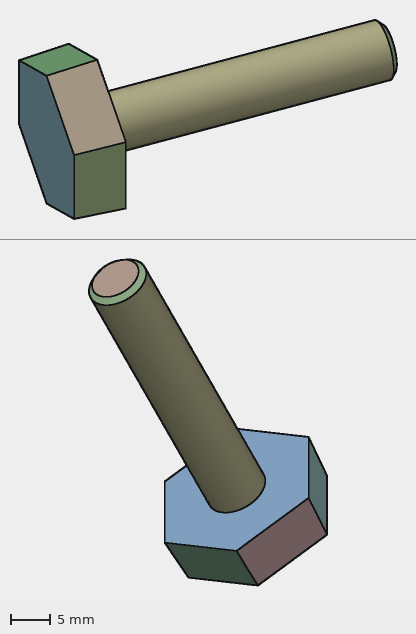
import cadquery as cq
import math

total_length = 47.0
head_height = 7.0
head_across_flats = 20.0
head_draft_angle = 3.0
shank_diameter = 8.0
tip_chamfer = 0.75

shank_length = total_length - head_height
shank_radius = shank_diameter / 2
head_across_corners = head_across_flats / math.cos(math.radians(30))


def make_head():
    """Hexagonal head, widest under the shank at Y = 0 and tapering toward -Y."""
    return (
        cq.Workplane("XZ")
        .transformed(rotate=(0, 0, 90))
        .polygon(6, head_across_corners)
        .extrude(head_height, taper=head_draft_angle)
    )


def make_shank():
    """Round shank along +Y with a chamfered tip, revolved from its half profile."""
    return (
        cq.Workplane("XY")
        .lineTo(shank_radius, 0)
        .lineTo(shank_radius, shank_length - tip_chamfer)
        .lineTo(shank_radius - tip_chamfer, shank_length)
        .lineTo(0, shank_length)
        .close()
        .revolve(360, (0, 0, 0), (0, 1, 0))
    )


result = make_head().union(make_shank())